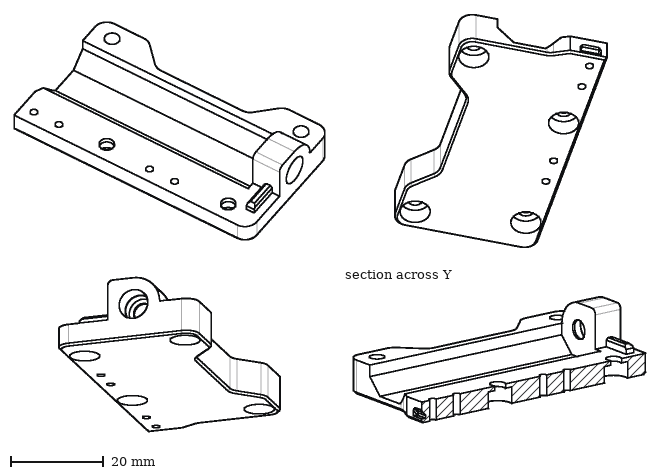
import cadquery as cq
import math

LENGTH = 60.9
WIDTH = 31.9
FRONT_DECK = 4.8
BACK_DECK = 7.8
CORNER_RADIUS = 3.0
BOTTOM_CHAMFER = 0.5

LEFT_EDGE = 1.9
TAPER_START = 8.3
TAPER_END = 12.3
TAPER_RADIUS = 3.0

NOTCH_DEPTH = 5.8
NOTCH_LEFT = 13.8
NOTCH_RIGHT = 49.0
NOTCH_RADIUS = 3.0

GROOVE_FLOOR = 1.6
GROOVE_FRONT = 10.1
GROOVE_BACK = 24.0
GROOVE_BACK_CHAMFER = 3.6

BLOCK_LEFT = 54.0
BLOCK_FRONT = 12.0
BLOCK_RADIUS = 6.0
BLOCK_FRONT_RADIUS = 1.2
BORE_Y = 17.9
BORE_Z = BACK_DECK
BLOCK_TOP = BORE_Z + BLOCK_RADIUS
BORE_DIAMETER = 4.3
BORE_LIP = 0.5
SOCKET_DIAMETER = 6.3
SOCKET_MOUTH_DIAMETER = 6.5
SOCKET_MOUTH_DEPTH = 4.0

RIB_LEFT = 57.0
RIB_WIDTH = 2.0
RIB_FRONT = 4.9
RIB_HEIGHT = 2.0
RIB_SIDE_CHAMFER = 0.5
RIB_END_CHAMFER = 0.9

SCREW_DIAMETER = 3.35
HEAD_DIAMETER = 6.5
HEAD_DEPTH = 3.7
SCREW_CENTERS = [(6.9, 28.0), (55.9, 28.0), (21.4, 4.0), (52.9, 4.0)]

PIN_DIAMETER = 1.65
PIN_Y = 3.1
PIN_PAIR_STARTS = [3.1, 33.1]
PIN_SPACING = 6.5

POCKET_FRONT = 1.3
POCKET_BACK = 6.0
POCKET_BOTTOM = 1.0
POCKET_TIP = 1.5
POCKET_RAMP_TOP = 2.45
POCKET_TOP = 3.0
POCKET_STEEP_LEAN = 22.5
POCKET_RAMP_CHAMFER = 0.4
POCKET_TOP_CORNER = 0.65


def box_between(x0, x1, y0, y1, z0, z1):
    return cq.Workplane("XY").box(x1 - x0, y1 - y0, z1 - z0, centered=False).translate((x0, y0, z0))


def x_cylinder(diameter, x0, x1):
    """Cylinder along X on the bore axis."""
    return cq.Workplane("YZ", origin=(x0, BORE_Y, BORE_Z)).circle(diameter / 2).extrude(x1 - x0)


def make_plate():
    notch_y = WIDTH - NOTCH_DEPTH
    plate = (
        cq.Workplane("XY")
        .polyline([
            (0, 0),
            (LENGTH, 0),
            (LENGTH, WIDTH),
            (NOTCH_RIGHT, WIDTH),
            (NOTCH_RIGHT - NOTCH_DEPTH, notch_y),
            (NOTCH_LEFT + NOTCH_DEPTH, notch_y),
            (NOTCH_LEFT, WIDTH),
            (LEFT_EDGE, WIDTH),
            (LEFT_EDGE, TAPER_END),
            (0, TAPER_START),
        ])
        .close()
        .extrude(BACK_DECK)
    )

    def corner_at(x, y):
        """Selects the upright edge at a corner of the outline."""
        near = 0.1
        return cq.selectors.BoxSelector((x - near, y - near, -near), (x + near, y + near, BACK_DECK + near))

    for x, y in [(LENGTH, 0), (LENGTH, WIDTH), (LEFT_EDGE, WIDTH)]:
        plate = plate.edges("|Z").edges(corner_at(x, y)).fillet(CORNER_RADIUS)
    for x in [NOTCH_LEFT, NOTCH_RIGHT]:
        plate = plate.edges("|Z").edges(corner_at(x, WIDTH)).fillet(NOTCH_RADIUS)
    for x in [NOTCH_LEFT + NOTCH_DEPTH, NOTCH_RIGHT - NOTCH_DEPTH]:
        plate = plate.edges("|Z").edges(corner_at(x, notch_y)).fillet(NOTCH_RADIUS)
    plate = plate.edges("|Z").edges(corner_at(LEFT_EDGE, TAPER_END)).fillet(TAPER_RADIUS)
    plate = plate.faces("<Z").edges().chamfer(BOTTOM_CHAMFER)
    return plate.cut(box_between(0, LENGTH, 0, BLOCK_FRONT, FRONT_DECK, BACK_DECK))


def make_groove():
    flank = FRONT_DECK - GROOVE_FLOOR
    return (
        cq.Workplane("YZ")
        .polyline([
            (GROOVE_FRONT, FRONT_DECK),
            (GROOVE_FRONT + flank, GROOVE_FLOOR),
            (GROOVE_BACK - GROOVE_BACK_CHAMFER, GROOVE_FLOOR),
            (GROOVE_BACK, GROOVE_FLOOR + GROOVE_BACK_CHAMFER),
            (GROOVE_BACK, BACK_DECK),
            (GROOVE_FRONT, BACK_DECK),
        ])
        .close()
        .extrude(BLOCK_LEFT)
    )


def make_block():
    block = box_between(BLOCK_LEFT, LENGTH, BLOCK_FRONT, BORE_Y + BLOCK_RADIUS, FRONT_DECK, BLOCK_TOP)
    block = block.edges("|X and >Y and >Z").fillet(BLOCK_RADIUS)
    return block.edges("|X and <Y and >Z").fillet(BLOCK_FRONT_RADIUS)


def make_bore():
    bore = x_cylinder(BORE_DIAMETER, BLOCK_LEFT, LENGTH)
    socket = x_cylinder(SOCKET_DIAMETER, BLOCK_LEFT + BORE_LIP, LENGTH)
    mouth = x_cylinder(SOCKET_MOUTH_DIAMETER, LENGTH - SOCKET_MOUTH_DEPTH, LENGTH)
    return bore.union(socket).union(mouth)


def make_rib():
    rib = box_between(
        RIB_LEFT, RIB_LEFT + RIB_WIDTH, RIB_FRONT, BLOCK_FRONT, FRONT_DECK, FRONT_DECK + RIB_HEIGHT
    )
    rib = rib.edges("|Y and >Z").chamfer(RIB_SIDE_CHAMFER)
    return rib.faces("<Y").edges(">Z").chamfer(RIB_END_CHAMFER)


def make_pocket():
    """Flat floor and an end wall that leans in, then ramps back out at 45 degrees and up to the mouth."""
    lean = math.tan(math.radians(POCKET_STEEP_LEAN))
    ramp_top_x = (POCKET_TOP - POCKET_RAMP_TOP) * lean
    tip_x = ramp_top_x + POCKET_RAMP_TOP - POCKET_TIP
    floor_x = tip_x - (POCKET_TIP - POCKET_BOTTOM) * lean
    overrun = 1.0
    roof_z = POCKET_TOP + overrun / lean
    pocket = (
        cq.Workplane("XZ", origin=(0, POCKET_FRONT, 0))
        .polyline([
            (-overrun, POCKET_BOTTOM),
            (floor_x, POCKET_BOTTOM),
            (tip_x, POCKET_TIP),
            (ramp_top_x, POCKET_RAMP_TOP),
            (-overrun, roof_z),
        ])
        .close()
        .extrude(POCKET_FRONT - POCKET_BACK)
    )
    above_tip = cq.selectors.BoxSelector((-overrun, 0, POCKET_TIP), (tip_x, WIDTH, roof_z))
    side_edges = pocket.faces("<Y or >Y").edges(above_tip).edges("not <X")
    pocket = side_edges.chamfer(POCKET_RAMP_CHAMFER)
    envelope = box_between(0, tip_x, POCKET_FRONT, POCKET_BACK, POCKET_BOTTOM, POCKET_TOP)
    envelope = envelope.edges("|X and >Z").chamfer(POCKET_TOP_CORNER)
    return pocket.intersect(envelope)


def hole_cutter(centers, diameter, depth):
    """Upright cylinders rising from the underside."""
    return cq.Workplane("XY").pushPoints(centers).circle(diameter / 2).extrude(depth)


pin_centers = [(start + step, PIN_Y) for start in PIN_PAIR_STARTS for step in (0, PIN_SPACING)]

part = make_plate().cut(make_groove()).union(make_block()).union(make_rib())
part = part.cut(make_bore()).cut(make_pocket())
part = part.cut(hole_cutter(SCREW_CENTERS, SCREW_DIAMETER, BACK_DECK))
part = part.cut(hole_cutter(SCREW_CENTERS, HEAD_DIAMETER, HEAD_DEPTH))
part = part.cut(hole_cutter(pin_centers, PIN_DIAMETER, FRONT_DECK))

result = part